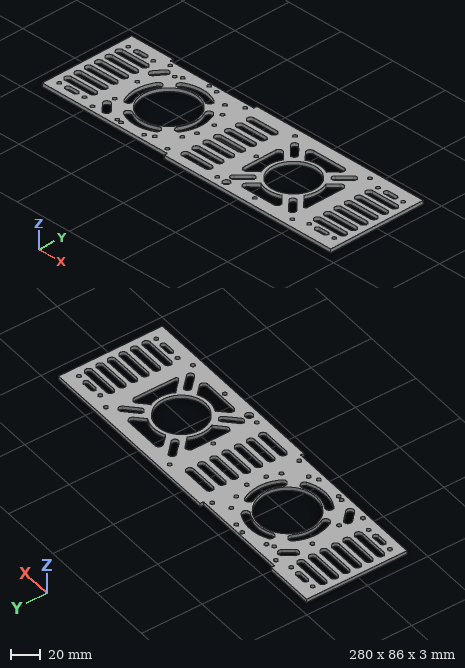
import cadquery as cq
import math

LENGTH = 280.0
WIDTH = 86.0
THICKNESS = 3.0
EDGE_STEP = 2.8
STEP_X = -20.0
TAB_END_X = -100.0

SCREW_DIAMETER = 3.0
SLOT_WIDTH = 6.0
OPENING_X = 60.0
SCREW_SQUARE = 72.0

END_BANK_X = 119.8
END_VENT_LENGTH = 30.0
END_VENT_PITCH = 9.5
END_VENT_COUNT = 6
MOUNT_Y = 32.0
MOUNT_SPACING = 24.0
MOUNT_SLOT_LENGTH = 12.0
MOUNT_SLOT_WIDTH = 4.2
MIDDLE_VENT_LENGTH = 28.0
MIDDLE_VENT_PITCH = 10.0
MIDDLE_VENT_COUNT = 7
MIDDLE_BANK_Y = -1.5

LEFT_RADIUS = 23.5
ARC_SLOT_INNER = 25.0
ARC_SLOT_OUTER = 31.0
ARC_SLOT_HALF_ANGLE = 29.5
OUTER_CIRCLE_RADIUS = 37.5
OUTER_CIRCLE_START = 10
OUTER_CIRCLE_COUNT = 9
INNER_CIRCLE_RADIUS = 37.0
INNER_CIRCLE_ANGLES = (31.5, 76.5, 121.5, 256.5, 301.5, 346.5)
ANGLED_SLOTS = (
    (-94.5, 24.5, 14.5, 54),
    (-88.8, -29.7, 15.5, -45),
)

RIGHT_RADIUS = 20.0
WINDOW_INNER_RADIUS = 23.0
WINDOW_OUTER = 32.5
WINDOW_DIAGONAL_SHIFT = 10.5
WINDOW_CORNER_RADIUS = 3.0
SHARP_CORNER_RADIUS = 1.5
SPOKE_SLOT_WIDTH = 5.3
SPOKE_SLOT_INNER = 19.5
SPOKE_SLOT_OUTER = 28.3
CABLE_HOLE_X = 32.8
CABLE_HOLE_Y = -36.0
CABLE_HOLE_DIAMETER = 6.0


def polar(radius, angle):
    """Point at the given radius and angle (degrees) around the origin."""
    return (radius * math.cos(math.radians(angle)), radius * math.sin(math.radians(angle)))


def drill(points, diameter):
    return cq.Workplane("XY").pushPoints(points).circle(diameter / 2).extrude(THICKNESS)


def slots(points, length, width, angle=0):
    return cq.Workplane("XY").pushPoints(points).slot2D(length, width, angle).extrude(THICKNESS)


def square_corners(center_x):
    half = SCREW_SQUARE / 2
    return [(center_x + sx * half, sy * half) for sx in (-1, 1) for sy in (-1, 1)]


def vent_bank(center_x, center_y, count, pitch, length):
    first_y = center_y - pitch * (count - 1) / 2
    points = [(center_x, first_y + i * pitch) for i in range(count)]
    return slots(points, length, SLOT_WIDTH)


def make_plate():
    half_length = LENGTH / 2
    half_width = WIDTH / 2
    recessed = half_width - EDGE_STEP
    outline = [
        (-half_length, -recessed),
        (STEP_X, -recessed),
        (STEP_X, -half_width),
        (half_length, -half_width),
        (half_length, half_width),
        (STEP_X, half_width),
        (STEP_X, recessed),
        (TAB_END_X, recessed),
        (TAB_END_X, half_width),
        (-half_length, half_width),
    ]
    return cq.Workplane("XY").polyline(outline).close().extrude(THICKNESS)


def end_bank(center_x):
    """Vents with a short slot between two screws above and below them."""
    vents = vent_bank(center_x, 0, END_VENT_COUNT, END_VENT_PITCH, END_VENT_LENGTH)
    mount_slots = slots([(center_x, -MOUNT_Y), (center_x, MOUNT_Y)], MOUNT_SLOT_LENGTH, MOUNT_SLOT_WIDTH)
    half = MOUNT_SPACING / 2
    screws = [(center_x + sx * half, sy * MOUNT_Y) for sx in (-1, 1) for sy in (-1, 1)]
    return vents.add(mount_slots).add(drill(screws, SCREW_DIAMETER)).combine()


def arc_slot():
    """Curved slot centred on the +X axis around the origin."""
    a = ARC_SLOT_HALF_ANGLE
    middle_radius = (ARC_SLOT_INNER + ARC_SLOT_OUTER) / 2
    end_radius = (ARC_SLOT_OUTER - ARC_SLOT_INNER) / 2
    tip = a + math.degrees(end_radius / middle_radius)
    return (
        cq.Workplane("XY")
        .moveTo(*polar(ARC_SLOT_OUTER, -a))
        .threePointArc((ARC_SLOT_OUTER, 0), polar(ARC_SLOT_OUTER, a))
        .threePointArc(polar(middle_radius, tip), polar(ARC_SLOT_INNER, a))
        .threePointArc((ARC_SLOT_INNER, 0), polar(ARC_SLOT_INNER, -a))
        .threePointArc(polar(middle_radius, -tip), polar(ARC_SLOT_OUTER, -a))
        .close()
        .extrude(THICKNESS)
    )


def left_opening():
    center = (-OPENING_X, 0, 0)
    outer_pitch = 360 / OUTER_CIRCLE_COUNT
    screws = [
        polar(OUTER_CIRCLE_RADIUS, OUTER_CIRCLE_START + i * outer_pitch)
        for i in range(OUTER_CIRCLE_COUNT)
    ]
    screws += [polar(INNER_CIRCLE_RADIUS, angle) for angle in INNER_CIRCLE_ANGLES]
    cutter = drill([(0, 0)], 2 * LEFT_RADIUS).add(drill(screws, SCREW_DIAMETER))
    for angle in (0, 90, 180, 270):
        cutter = cutter.add(arc_slot().rotate((0, 0, 0), (0, 0, 1), angle))
    cutter = cutter.combine().translate(center)
    for x, y, length, angle in ANGLED_SLOTS:
        cutter = cutter.union(slots([(x, y)], length, SLOT_WIDTH, angle))
    return cutter.union(drill(square_corners(-OPENING_X), SCREW_DIAMETER))


def window(lower_corner_radius):
    """Trapezoid with an arc on its inner side, opening towards +X from the origin."""
    outer_half = WINDOW_OUTER - WINDOW_DIAGONAL_SHIFT
    blank = (
        cq.Workplane("XY")
        .polyline([(WINDOW_DIAGONAL_SHIFT, 0), (WINDOW_OUTER, -outer_half), (WINDOW_OUTER, outer_half)])
        .close()
        .extrude(THICKNESS)
    )
    blank = blank.edges("|Z and >Y").fillet(WINDOW_CORNER_RADIUS)
    blank = blank.edges("|Z and <Y").fillet(lower_corner_radius)
    return blank.cut(drill([(0, 0)], 2 * WINDOW_INNER_RADIUS))


def right_opening():
    cutter = drill([(0, 0)], 2 * RIGHT_RADIUS).add(window(SHARP_CORNER_RADIUS))
    for angle in (90, 180, 270):
        cutter = cutter.add(window(WINDOW_CORNER_RADIUS).rotate((0, 0, 0), (0, 0, 1), angle))
    spoke_offset = (SPOKE_SLOT_INNER + SPOKE_SLOT_OUTER) / 2
    spoke_length = (SPOKE_SLOT_OUTER - SPOKE_SLOT_INNER) * math.sqrt(2) + SPOKE_SLOT_WIDTH
    for sx in (-1, 1):
        for sy in (-1, 1):
            middle = (sx * spoke_offset, sy * spoke_offset)
            cutter = cutter.add(slots([middle], spoke_length, SPOKE_SLOT_WIDTH, sx * sy * 45))
    cutter = cutter.combine().translate((OPENING_X, 0, 0))
    half = SCREW_SQUARE / 2
    screws = square_corners(OPENING_X) + [(OPENING_X - half, 0), (OPENING_X, -half)]
    cutter = cutter.union(drill(screws, SCREW_DIAMETER))
    return cutter.union(drill([(CABLE_HOLE_X, CABLE_HOLE_Y)], CABLE_HOLE_DIAMETER))


result = (
    make_plate()
    .cut(end_bank(-END_BANK_X))
    .cut(end_bank(END_BANK_X))
    .cut(vent_bank(0, MIDDLE_BANK_Y, MIDDLE_VENT_COUNT, MIDDLE_VENT_PITCH, MIDDLE_VENT_LENGTH))
    .cut(left_opening())
    .cut(right_opening())
)